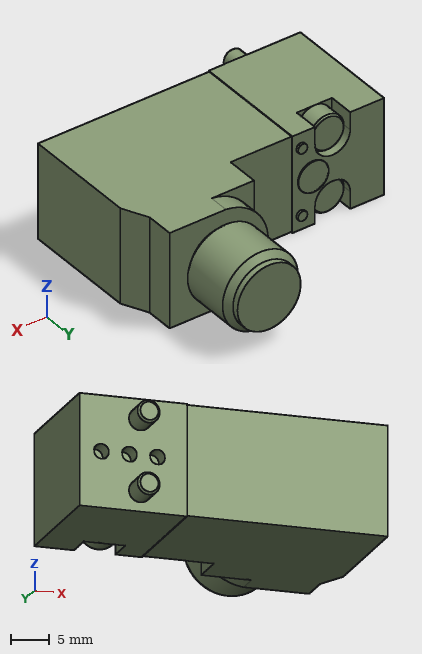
import cadquery as cq
import math

overall_length = 41.85

block_length = 14.6
block_depth = 18.25
block_height = 15.2

housing_height = 15.0
housing_front = 0.1
housing_back = 18.1
tower_left = 24.3
tower_right = 40.0
tower_back = 26.3
tower_bevel_back = 21.95
round_start = 23.2
round_radius = 7.55

plug_x = tower_left + round_radius
plug_radius = 12.0 / 2
plug_neck_radius = 10.1 / 2
plug_bevel = plug_radius - plug_neck_radius
plug_end = 36.8
plug_lip = 0.95

screw_x = 8.2
screw_offset = 4.85
screw_radius = 3.0 / 2
screw_reach = 3.75
screw_tip_chamfer = 0.3
head_radius = 5.5 / 2
head_top = 17.2
head_chamfer = 0.25
slot_radius = 5.6 / 2
slot_floor = 14.25

port_diameter = 2.0
port_depth = 2.5
port_pitch = 3.8
middle_port_x = 6.8

stud_x = 13.22
stud_offset = 5.27
stud_diameter = 1.5
stud_height = 0.38
disc_x = 11.35
disc_diameter = 4.8
disc_height = 0.15

overlap = 0.2


def cylinder_y(x, z, radius, start, end):
    """Cylinder parallel to Y between two Y positions."""
    axis = cq.Vector(0, 1, 0)
    return cq.Workplane(cq.Solid.makeCylinder(radius, end - start, cq.Vector(x, start, z), axis))


def box_between(x_start, x_end, y_start, y_end, z_start, z_end):
    """Box given by its limits on each axis."""
    size = (x_end - x_start, y_end - y_start, z_end - z_start)
    return cq.Workplane("XY").box(*size, centered=False).translate((x_start, y_start, z_start))


def make_block():
    half_height = block_height / 2
    block = box_between(0, block_length, 0, block_depth, -half_height, half_height)
    for side in (-1, 1):
        z = side * screw_offset
        z_outer = side * half_height
        block = block.cut(cylinder_y(screw_x, z, slot_radius, slot_floor, block_depth))
        block = block.cut(box_between(
            screw_x - slot_radius, screw_x + slot_radius,
            slot_floor, block_depth,
            min(z, z_outer), max(z, z_outer),
        ))
    for step in (-1, 0, 1):
        port_x = middle_port_x + step * port_pitch
        block = block.cut(cylinder_y(port_x, 0, port_diameter / 2, 0, port_depth))
    return block


def make_housing():
    outline = [
        (block_length - overlap, housing_front),
        (overall_length, housing_front),
        (overall_length, housing_back),
        (tower_right, tower_bevel_back),
        (tower_right, tower_back),
        (tower_left, tower_back),
        (tower_left, housing_back),
        (block_length - overlap, housing_back),
    ]
    housing = cq.Workplane("XY").polyline(outline).close().extrude(housing_height / 2, both=True)

    half_height = housing_height / 2
    round_edge_x = plug_x - math.sqrt(round_radius**2 - half_height**2)
    corner = box_between(tower_left, round_edge_x, round_start, tower_back, -half_height, half_height)
    corner = corner.cut(cylinder_y(plug_x, 0, round_radius, round_start, tower_back))
    return housing.cut(corner)


def make_plug():
    profile = [
        (0, tower_back - overlap),
        (plug_neck_radius, tower_back - overlap),
        (plug_neck_radius, tower_back),
        (plug_radius, tower_back + plug_bevel),
        (plug_radius, plug_end - plug_lip - plug_bevel),
        (plug_neck_radius, plug_end - plug_lip),
        (plug_neck_radius, plug_end),
        (0, plug_end),
    ]
    plug = cq.Workplane("XY").polyline(profile).close().revolve(360, (0, 0, 0), (0, 1, 0))
    return plug.translate((plug_x, 0, 0))


def make_screw(z):
    shank = cylinder_y(screw_x, z, screw_radius, -screw_reach, slot_floor)
    shank = shank.faces("<Y").chamfer(screw_tip_chamfer)
    head = cylinder_y(screw_x, z, head_radius, slot_floor - overlap, head_top)
    head = head.faces(">Y").chamfer(head_chamfer)
    limit = block_height / 2
    head = head.intersect(box_between(0, block_length, 0, block_depth, -limit, limit))
    return shank.union(head)


def make_stud(z):
    return cylinder_y(stud_x, z, stud_diameter / 2, block_depth - overlap, block_depth + stud_height)


result = make_block().union(make_housing()).union(make_plug())
for side in (-1, 1):
    result = result.union(make_screw(side * screw_offset))
    result = result.union(make_stud(side * stud_offset))
disc = cylinder_y(disc_x, 0, disc_diameter / 2, block_depth - overlap, block_depth + disc_height)
result = result.union(disc)